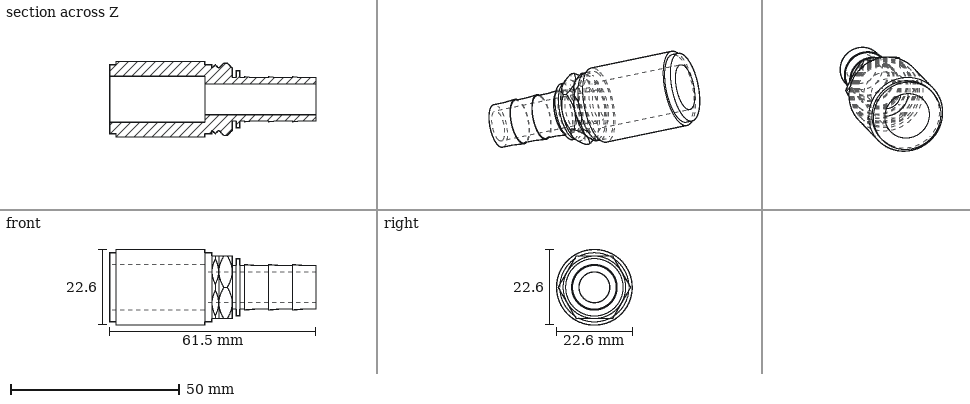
import cadquery as cq
import math


overall_length = 61.5
barrel_start = 1.9
barrel_end = 28.4
body_end = 30.45
lock_hex_end = 32.5
main_hex_end = 36.55
collar_start = 37.65
collar_end = 38.8
first_barb_start = 40.1
barb_length = 3.55
barb_pitch = 7.15
barb_count = 3

barrel_diameter = 22.6
body_diameter = 20.6
collar_diameter = 17.1
tail_diameter = 13.0
barb_diameter = 13.6
socket_diameter = 13.6
bore_diameter = 9.1

hex_across_flats = 18.7
hex_end_diameter = 18.6
hex_across_corners = hex_across_flats / math.cos(math.radians(30))

socket_depth = barrel_end


def revolve_about_x(points):
    """Solid of revolution about X from (x, radius) profile points."""
    profile = cq.Workplane("XZ").polyline(points).close()
    return profile.revolve(360, (0, 0, 0), (1, 0, 0))


def cylinder(start, end, diameter):
    """Cylinder along X between two stations."""
    radius = diameter / 2
    return revolve_about_x([(start, 0), (start, radius), (end, radius), (end, 0)])


def crowned_hex(start, end):
    """Hexagon with flats facing +Z and -Z, its corners turned off by a cone from each end."""
    length = end - start
    prism = (
        cq.Workplane("YZ", origin=(start, 0, 0))
        .polygon(6, hex_across_corners)
        .extrude(length)
    )
    end_radius = hex_end_diameter / 2
    peak_radius = end_radius + length / 2
    crown = revolve_about_x([
        (start, 0),
        (start, end_radius),
        ((start + end) / 2, peak_radius),
        (end, end_radius),
        (end, 0),
    ])
    return prism.intersect(crown)


def barb(start):
    """Hose barb: a square shoulder facing the hexagons, tapering down to the tail."""
    end = start + barb_length
    return revolve_about_x([
        (start, 0),
        (start, barb_diameter / 2),
        (end, tail_diameter / 2),
        (end, 0),
    ])


body = cylinder(0, body_end, body_diameter)
barrel = cylinder(barrel_start, barrel_end, barrel_diameter)
result = body.union(barrel)

result = result.union(crowned_hex(body_end, lock_hex_end))
result = result.union(crowned_hex(lock_hex_end, main_hex_end))

result = result.union(cylinder(main_hex_end, overall_length, tail_diameter))
result = result.union(cylinder(collar_start, collar_end, collar_diameter))
for index in range(barb_count):
    result = result.union(barb(first_barb_start + index * barb_pitch))

result = result.cut(cylinder(0, overall_length, bore_diameter))
result = result.cut(cylinder(0, socket_depth, socket_diameter))